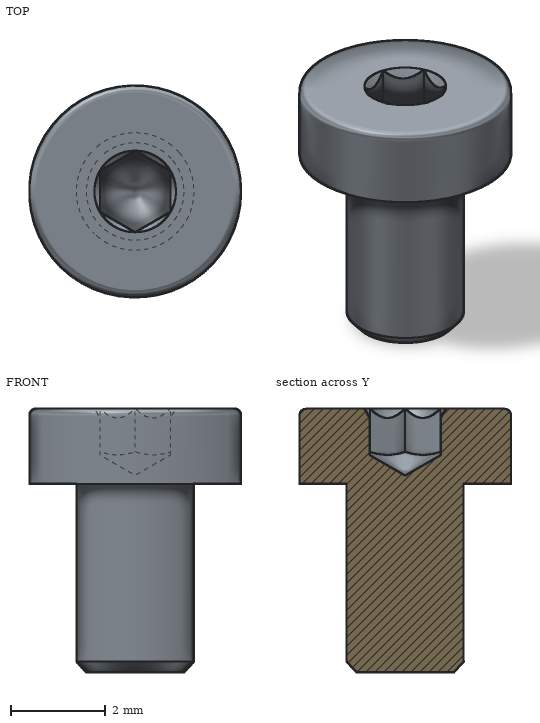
import cadquery as cq
import math

overall_length = 5.6
head_diameter = 4.5
head_height = 1.6
head_edge_radius = 0.15
shank_diameter = 2.5
shank_length = overall_length - head_height
tip_chamfer_height = 0.23
tip_chamfer_width = 0.21

socket_across_flats = 1.5
socket_across_corners = socket_across_flats / math.cos(math.pi / 6)
socket_depth = 0.92
socket_mouth_angle = 60.0
socket_floor_angle = 30.0


def make_head():
    head = cq.Workplane("XY").circle(head_diameter / 2).extrude(head_height)
    return head.faces(">Z").edges().fillet(head_edge_radius)


def make_shank():
    shank = cq.Workplane("XY").circle(shank_diameter / 2).extrude(-shank_length)
    return shank.faces("<Z").edges().chamfer(tip_chamfer_height, tip_chamfer_width)


def make_cone(top_z, slope_angle):
    """Cone pointing down, as wide at top_z as the socket is across its corners."""
    radius = socket_across_corners / 2
    depth = radius * math.tan(math.radians(slope_angle))
    profile = cq.Workplane("XZ").moveTo(0, top_z).lineTo(radius, top_z).lineTo(0, top_z - depth).close()
    return profile.revolve(360, (0, 0, 0), (0, 1, 0))


def make_socket():
    floor_z = head_height - socket_depth
    hexagon = (
        cq.Workplane("XY", origin=(0, 0, head_height))
        .transformed(rotate=(0, 0, 90))
        .polygon(6, socket_across_corners)
        .extrude(-socket_depth)
    )
    floor_prism = hexagon.translate((0, 0, -socket_depth))
    floor_cone = make_cone(floor_z, socket_floor_angle).intersect(floor_prism)
    mouth_limit = cq.Workplane("XY", origin=(0, 0, floor_z)).circle(head_diameter / 2).extrude(socket_depth)
    mouth_cone = make_cone(head_height, socket_mouth_angle).intersect(mouth_limit)
    return hexagon.union(floor_cone).union(mouth_cone)


result = make_head().union(make_shank()).cut(make_socket())